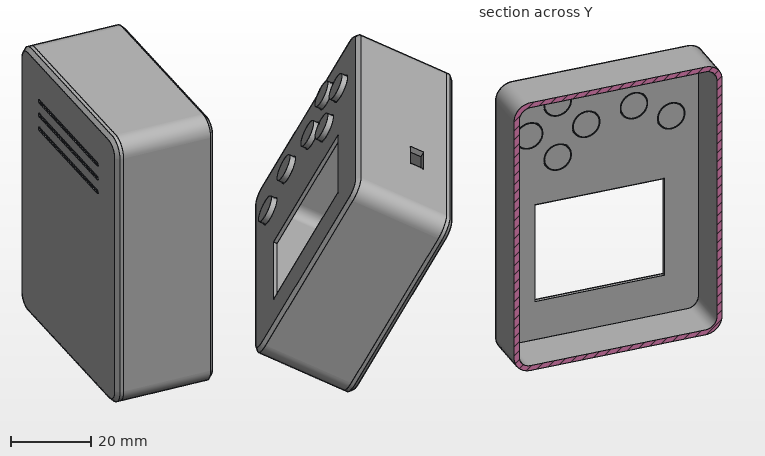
import cadquery as cq

CASE_WIDTH = 56.4
CASE_HEIGHT = 76.4
TOTAL_DEPTH = 28.4
BUTTON_PROTRUSION = 1.45
COVER_THICKNESS = 2.0
WALL = 1.5
BACK_WALL = 1.0
CORNER_RADIUS = 4.5
EDGE_CHAMFER = 1.0

CASE_DEPTH = TOTAL_DEPTH - BUTTON_PROTRUSION
HOUSING_DEPTH = CASE_DEPTH - COVER_THICKNESS

COVER_FACE_Y = -TOTAL_DEPTH / 2
SPLIT_Y = COVER_FACE_Y + COVER_THICKNESS
BACK_FACE_Y = COVER_FACE_Y + CASE_DEPTH
BACK_INNER_Y = BACK_FACE_Y - BACK_WALL

VENT_LENGTH = 35.0
VENT_WIDTH = 1.0
VENT_PITCH = 4.0
VENT_COUNT = 3
VENT_DEPTH = 0.34
TOP_VENT_Z = 26.7

PORT_WIDTH = 3.7
PORT_HEIGHT = 8.0
PORT_Y = -4.0
PORT_Z = -12.1

WINDOW_WIDTH = 35.0
WINDOW_HEIGHT = 27.5
WINDOW_BOTTOM_Z = -25.8
WINDOW_Z = WINDOW_BOTTOM_Z + WINDOW_HEIGHT / 2

BUTTON_DIAMETER = 7.0
BUTTON_HOLE_DIAMETER = 7.4
BUTTON_LENGTH = BACK_WALL + BUTTON_PROTRUSION
BUTTON_ROW_Z = 21.7
PAD_X = -11.4
PAD_PITCH = 7.7
ACTION_X = 14.3
ACTION_HALF_STEP_X = 5.05
ACTION_HALF_STEP_Z = 2.5

BUTTON_CENTRES = [
    (PAD_X - PAD_PITCH, BUTTON_ROW_Z),
    (PAD_X + PAD_PITCH, BUTTON_ROW_Z),
    (PAD_X, BUTTON_ROW_Z - PAD_PITCH),
    (PAD_X, BUTTON_ROW_Z + PAD_PITCH),
    (ACTION_X - ACTION_HALF_STEP_X, BUTTON_ROW_Z + ACTION_HALF_STEP_Z),
    (ACTION_X + ACTION_HALF_STEP_X, BUTTON_ROW_Z - ACTION_HALF_STEP_Z),
]


def plane_at(y):
    """Sketch plane across Y at the given y, extruding toward +Y; its local x runs along -X."""
    return cq.Workplane(cq.Plane(origin=(0, y, 0), xDir=(-1, 0, 0), normal=(0, 1, 0)))


def rounded_block(width, height, radius, start_y, depth):
    """Block with rounded corners in XZ, running from start_y toward +Y."""
    return plane_at(start_y).rect(width, height).extrude(depth).edges("|Y").fillet(radius)


def cylinder(centre, diameter, start_y, length):
    """Cylinder along +Y around an (x, z) centre."""
    x, z = centre
    return plane_at(start_y).center(-x, z).circle(diameter / 2).extrude(length)


def make_housing():
    """Open box with button holes and a display window in the back and a connector slot in the side."""
    shell = rounded_block(CASE_WIDTH, CASE_HEIGHT, CORNER_RADIUS, SPLIT_Y, HOUSING_DEPTH)
    shell = shell.faces(">Y").chamfer(EDGE_CHAMFER)

    cavity = rounded_block(
        CASE_WIDTH - 2 * WALL,
        CASE_HEIGHT - 2 * WALL,
        CORNER_RADIUS - WALL,
        SPLIT_Y,
        HOUSING_DEPTH - BACK_WALL,
    )
    shell = shell.cut(cavity)

    for centre in BUTTON_CENTRES:
        shell = shell.cut(cylinder(centre, BUTTON_HOLE_DIAMETER, BACK_INNER_Y, BACK_WALL))

    window = plane_at(BACK_INNER_Y).center(0, WINDOW_Z).rect(WINDOW_WIDTH, WINDOW_HEIGHT).extrude(BACK_WALL)
    shell = shell.cut(window)

    port_x = -CASE_WIDTH / 2 + WALL / 2
    port = cq.Workplane("XY").box(WALL, PORT_WIDTH, PORT_HEIGHT).translate((port_x, PORT_Y, PORT_Z))
    return shell.cut(port)


def make_cover():
    """Flat plate with a chamfered outer rim and a row of shallow vent grooves."""
    plate = rounded_block(CASE_WIDTH, CASE_HEIGHT, CORNER_RADIUS, COVER_FACE_Y, COVER_THICKNESS)
    plate = plate.faces("<Y").chamfer(EDGE_CHAMFER)
    for index in range(VENT_COUNT):
        vent_z = TOP_VENT_Z - index * VENT_PITCH
        vent = plane_at(COVER_FACE_Y).center(0, vent_z).slot2D(VENT_LENGTH, VENT_WIDTH)
        plate = plate.cut(vent.extrude(VENT_DEPTH))
    return plate


def make_button(centre):
    """Round push button, flush with the inside of the back wall and proud of its outside."""
    return cylinder(centre, BUTTON_DIAMETER, BACK_INNER_Y, BUTTON_LENGTH)


housing = make_housing()
cover = make_cover()
buttons = [make_button(centre) for centre in BUTTON_CENTRES]

result = cq.Compound.makeCompound([housing.val(), cover.val(), *[button.val() for button in buttons]])